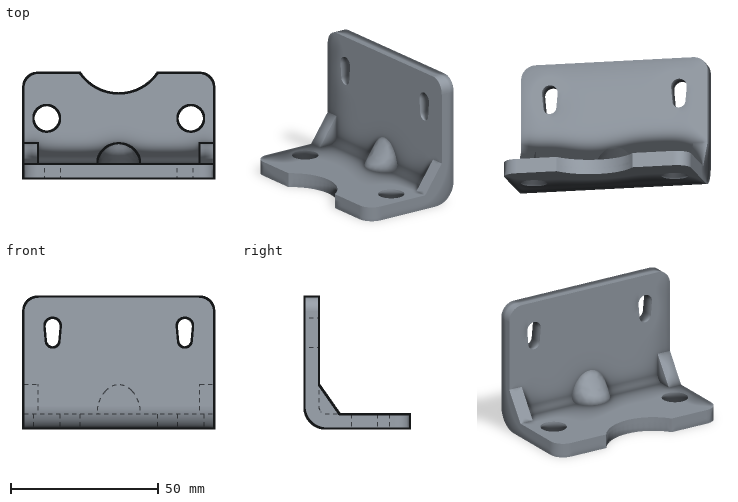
import cadquery as cq
import math

width = 65.0
depth = 36.0
height = 45.0
thickness = 5.0
bend_outer_radius = 7.5
bend_inner_radius = bend_outer_radius - thickness
corner_radius = 5.0

gusset_width = 5.0
gusset_reach = 12.0
gusset_top = 15.0
rib_radius = 7.5

slot_spacing = 45.0
slot_upper_radius = 2.7
slot_lower_radius = 2.3
slot_upper_z = 35.0
slot_center_distance = 5.0

hole_diameter = 9.0
hole_spacing = 49.0
hole_y = 20.5
notch_radius = 16.0
notch_center_y = 45.0


def bent_plate():
    """L-shaped plate with a rounded bend and rounded free corners."""
    plate = (
        cq.Workplane("YZ")
        .polyline([(0, 0), (depth, 0), (depth, thickness), (thickness, thickness),
                   (thickness, height), (0, height)])
        .close()
        .extrude(width / 2, both=True)
    )
    plate = plate.edges("|X and <Y and <Z").fillet(bend_outer_radius)
    inner_edge = cq.selectors.NearestToPointSelector((0, thickness, thickness))
    plate = plate.edges(inner_edge).fillet(bend_inner_radius)
    plate = plate.edges("|Y and >Z").edges("<X or >X").fillet(corner_radius)
    return plate.edges("|Z and >Y").fillet(corner_radius)


def gusset(center_x, gusset_length):
    """Triangular block filling the inside of the bend, overlapping the bent plate."""
    overlap = thickness / 2
    return (
        cq.Workplane("YZ", origin=(center_x, 0, 0))
        .polyline([(overlap, overlap), (gusset_reach, overlap), (gusset_reach, thickness),
                   (thickness, gusset_top), (overlap, gusset_top)])
        .close()
        .extrude(gusset_length / 2, both=True)
    )


def rib():
    """Rib running along the gusset slope, with a circular outline on the base."""
    run = gusset_reach - thickness
    rise = gusset_top - thickness
    slope_length = math.hypot(run, rise)
    minor_radius = rib_radius * rise / slope_length
    axis_plane = cq.Plane(
        origin=(0, gusset_reach - rib_radius, thickness),
        xDir=(1, 0, 0),
        normal=(0, -run, rise),
    )
    barrel = (
        cq.Workplane(axis_plane)
        .workplane(offset=-2 * slope_length)
        .ellipse(rib_radius, minor_radius)
        .extrude(4 * slope_length)
    )
    mid_plate = thickness / 2
    inside_of_bend = cq.Workplane("XY", origin=(0, mid_plate, mid_plate)).box(
        width / 2, depth, height, centered=(True, False, False)
    )
    return barrel.intersect(inside_of_bend)


def slot(center_x):
    """Slot through the wall: two arcs joined by their common tangents."""
    lower_z = slot_upper_z - slot_center_distance
    tangent_sine = (slot_upper_radius - slot_lower_radius) / slot_center_distance
    tangent_cosine = math.sqrt(1 - tangent_sine ** 2)
    upper_x = slot_upper_radius * tangent_cosine
    upper_tangent_z = slot_upper_z - slot_upper_radius * tangent_sine
    lower_x = slot_lower_radius * tangent_cosine
    lower_tangent_z = lower_z - slot_lower_radius * tangent_sine
    return (
        cq.Workplane("XZ", origin=(center_x, 0, 0))
        .moveTo(-upper_x, upper_tangent_z)
        .threePointArc((0, slot_upper_z + slot_upper_radius), (upper_x, upper_tangent_z))
        .lineTo(lower_x, lower_tangent_z)
        .threePointArc((0, lower_z - slot_lower_radius), (-lower_x, lower_tangent_z))
        .close()
        .extrude(-thickness)
    )


def base_cylinder(x, y, radius):
    """Cutter through the base plate."""
    return cq.Workplane("XY").center(x, y).circle(radius).extrude(thickness)


result = bent_plate().union(rib())
for side in (-1, 1):
    result = result.union(gusset(side * (width - gusset_width) / 2, gusset_width))
    result = result.cut(slot(side * slot_spacing / 2))
    result = result.cut(base_cylinder(side * hole_spacing / 2, hole_y, hole_diameter / 2))
result = result.cut(base_cylinder(0, notch_center_y, notch_radius))